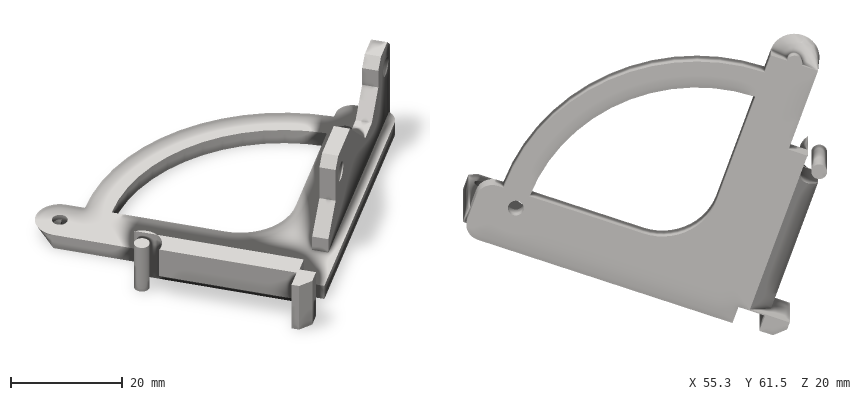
import cadquery as cq

overall_x = 55.25
overall_y = 61.5
overall_z = 20.0
plate_thickness = 3.0
wall_height = 10.0
small_hole_diameter = 2.8

lever_radius = 4.5
lever_x = lever_radius
lever_y = 15.6
lever_front = lever_y - lever_radius
lever_back = lever_y + lever_radius
hole_floor = 0.1
tip_apex_radius = 0.01

arm_left = 44.3
arm_back = 61.15
arm_corner_radius = 3.1
arm_hole_x = 47.25
arm_hole_y = 53.65
inner_corner_radius = 10.3

ring_x = 44.85
ring_y = lever_back
ring_outer_radius = 36.9
ring_inner_radius = 31.9

wall_left = 20.5
wall_right = 52.0
wall_front = 3.55
wall_back = 7.55
wall_undercut = 3.95
plate_step_y = 9.65
pin_x = 22.7
pin_y = 4.55
pocket_radius = 3.6
web_width = 0.05

tail_left = 51.7
tail_right = 55.05
tail_back = 4.6
tail_tip_right = 53.15
tail_chamfer_y = 2.0

fin_left = 50.45
fin_thickness = 3.0
fin_bottom = 1.65
ear_shoulder_z = 18.15
valley_z = 9.65
fin_front = 19.05
fin_front_top_z = 6.1
front_ear_y = 24.05
front_ear_foot_z = 11.1
back_ear_y = 53.5
back_ear_foot_z = 14.35
ear_chamfer = overall_z - ear_shoulder_z
front_ear_slope_y = 33.95
valley_front = 44.55
valley_back = 49.0
fin_hole_diameter = 3.6
fin_hole_z = 15.15
fin_hole_ys = (27.55, 58.55)


def box(x0, x1, y0, y1, z0, z1):
    """Box between two opposite corners."""
    return cq.Workplane("XY").box(x1 - x0, y1 - y0, z1 - z0, centered=False).translate((x0, y0, z0))


def cylinder(x, y, radius, z0, z1):
    """Vertical cylinder between two heights."""
    return cq.Workplane("XY", origin=(x, y, z0)).circle(radius).extrude(z1 - z0)


def make_plate():
    lever = box(lever_x, overall_x, lever_front, lever_back, 0, plate_thickness)
    arm = box(arm_left, overall_x, plate_step_y, arm_back, 0, plate_thickness)
    arm = arm.edges("|Z and >Y").fillet(arm_corner_radius)
    front = box(wall_left, wall_right, wall_back, lever_back, 0, plate_thickness)
    corner_x = arm_left - inner_corner_radius
    corner_y = lever_back + inner_corner_radius
    corner = box(corner_x, arm_left, lever_back, corner_y, 0, plate_thickness)
    corner = corner.cut(cylinder(corner_x, corner_y, inner_corner_radius, 0, plate_thickness))
    return lever.union(arm).union(front).union(corner)


def make_ring():
    ring = cylinder(ring_x, ring_y, ring_outer_radius, 0, plate_thickness)
    ring = ring.cut(cylinder(ring_x, ring_y, ring_inner_radius, 0, plate_thickness))
    return ring.intersect(box(0, arm_left, lever_back, overall_y, 0, plate_thickness))


def half_disc(radius, front_y, z):
    """Outline of a half disc left of the lever axis, with its front corner at front_y."""
    outline = cq.Workplane("XY", origin=(lever_x, front_y, z)).moveTo(0, 0)
    outline = outline.threePointArc((-radius, radius), (0, 2 * radius)).close()
    return outline.val()


def make_lever_tip():
    """Oblique half cone: half disc on top, tapering to the lower front corner of the lever."""
    top = half_disc(lever_radius, lever_front, plate_thickness)
    apex = half_disc(tip_apex_radius, lever_front, 0)
    return cq.Workplane(cq.Solid.makeLoft([apex, top], True))


def make_hole_plug(tip):
    """Material in the lever hole: everything under the cone, and a thin floor right of it."""
    left_of_axis = box(0, lever_x, lever_front, lever_back, 0, plate_thickness)
    hole = cylinder(lever_x, lever_y, small_hole_diameter / 2, 0, plate_thickness)
    floor = cylinder(lever_x, lever_y, small_hole_diameter / 2, 0, hole_floor)
    return hole.intersect(left_of_axis).cut(tip).union(floor.cut(left_of_axis))


def make_wall():
    """Wall with a sloping underside, a round pocket, and a bump over the plate."""
    profile = [
        (wall_back, 0),
        (wall_back, wall_height),
        (wall_front, wall_height),
        (wall_front, wall_undercut),
    ]
    wall = cq.Workplane("YZ", origin=(wall_left, 0, 0)).polyline(profile).close()
    wall = wall.extrude(wall_right - wall_left)
    pocket = cylinder(pin_x, pin_y, pocket_radius, 0, wall_height)
    wall = wall.cut(pocket)
    behind_wall = box(wall_left, wall_right, wall_back, lever_back, 0, wall_height)
    return wall.union(pocket.intersect(behind_wall))


def make_pin():
    """Pin in the pocket, tied to the plate by a hair-thin web at the bottom."""
    pin = cylinder(pin_x, pin_y, small_hole_diameter / 2, 0, wall_height)
    half_web = web_width / 2
    web = box(pin_x - half_web, pin_x + half_web, pin_y, wall_back, 0, web_width)
    return pin.union(web)


def make_tail():
    """Full-height tail whose root also closes the sloping end of the wall."""
    outline = [
        (tail_left, 0),
        (tail_tip_right, 0),
        (tail_right, tail_chamfer_y),
        (tail_right, tail_back),
        (wall_right, tail_back),
        (wall_right, wall_back),
        (tail_left, wall_back),
    ]
    return cq.Workplane("XY").polyline(outline).close().extrude(wall_height)


def make_fin():
    """Plate standing in the YZ plane, with two ears and a hole in each."""
    outline = [
        (fin_front, fin_bottom),
        (fin_front, fin_front_top_z),
        (front_ear_y, front_ear_foot_z),
        (front_ear_y, ear_shoulder_z),
        (front_ear_y + ear_chamfer, overall_z),
        (front_ear_slope_y, overall_z),
        (valley_front, valley_z),
        (valley_back, valley_z),
        (back_ear_y, back_ear_foot_z),
        (back_ear_y, ear_shoulder_z),
        (back_ear_y + ear_chamfer, overall_z),
        (overall_y - ear_chamfer, overall_z),
        (overall_y, ear_shoulder_z),
        (overall_y, fin_bottom),
    ]
    fin = cq.Workplane("YZ", origin=(fin_left, 0, 0)).polyline(outline).close().extrude(fin_thickness)
    holes = cq.Workplane("YZ", origin=(fin_left, 0, 0))
    holes = holes.pushPoints([(y, fin_hole_z) for y in fin_hole_ys])
    return fin.cut(holes.circle(fin_hole_diameter / 2).extrude(fin_thickness))


lever_tip = make_lever_tip()
result = make_plate().union(make_ring()).union(lever_tip)
for hole_x, hole_y in ((lever_x, lever_y), (arm_hole_x, arm_hole_y)):
    result = result.cut(cylinder(hole_x, hole_y, small_hole_diameter / 2, 0, plate_thickness))
result = result.union(make_hole_plug(lever_tip))
for feature in (make_wall(), make_pin(), make_tail(), make_fin()):
    result = result.union(feature)